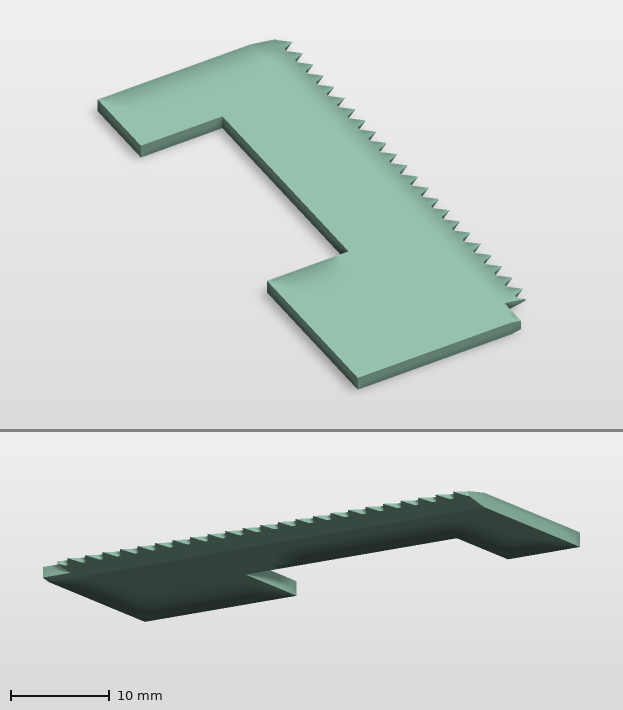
import cadquery as cq
import math

length = 52.37
width = 22.225
thickness = 1.524

notch_left = 8.7
notch_length = 25.4
notch_depth = 9.525

step_length = 3.3
step_depth = 3.175

bevel_angle = 10.0
bevel_width = thickness / 2 / math.tan(math.radians(bevel_angle))

tooth_pitch = 2.11
first_tip_x = 0.96
flank_half_angle = math.radians(30.0)
first_gullet_x = first_tip_x - tooth_pitch / 2
gullet_radius = 0.36
gullet_count = 24
tip_overshoot = 0.5


def beveled_blank():
    """Bar with a symmetric knife-edge profile along its +Y side, centred on Z."""
    profile = [
        (0, -thickness / 2),
        (width - bevel_width, -thickness / 2),
        (width, 0),
        (width - bevel_width, thickness / 2),
        (0, thickness / 2),
    ]
    return cq.Workplane("YZ").polyline(profile).close().extrude(length)


def rectangular_cutter(left, bottom, size_x, size_y):
    """Through-thickness rectangular block placed by its lower left corner."""
    block = cq.Workplane("XY").box(size_x, size_y, thickness, centered=(False, False, True))
    return block.translate((left, bottom, 0))


def gullet_cutter(center_x):
    """V-shaped cutter with a rounded root tangent to both flanks."""
    flank_slope = math.tan(flank_half_angle)
    vee_depth = tooth_pitch / 2 / flank_slope
    arc_center_y = width - vee_depth + gullet_radius / math.sin(flank_half_angle)
    tangent_x = gullet_radius * math.cos(flank_half_angle)
    tangent_y = arc_center_y - gullet_radius * math.sin(flank_half_angle)
    mouth_x = tooth_pitch / 2
    return (
        cq.Workplane("XY", origin=(center_x, 0, -thickness / 2))
        .moveTo(-tangent_x, tangent_y)
        .threePointArc((0, arc_center_y - gullet_radius), (tangent_x, tangent_y))
        .lineTo(mouth_x, width)
        .lineTo(mouth_x, width + tip_overshoot)
        .lineTo(-mouth_x, width + tip_overshoot)
        .lineTo(-mouth_x, width)
        .close()
        .extrude(thickness)
    )


blade = beveled_blank()
blade = blade.cut(rectangular_cutter(notch_left, 0, notch_length, notch_depth))
blade = blade.cut(rectangular_cutter(length - step_length, width - step_depth, step_length, step_depth))

for index in range(gullet_count):
    blade = blade.cut(gullet_cutter(first_gullet_x + index * tooth_pitch))

result = blade